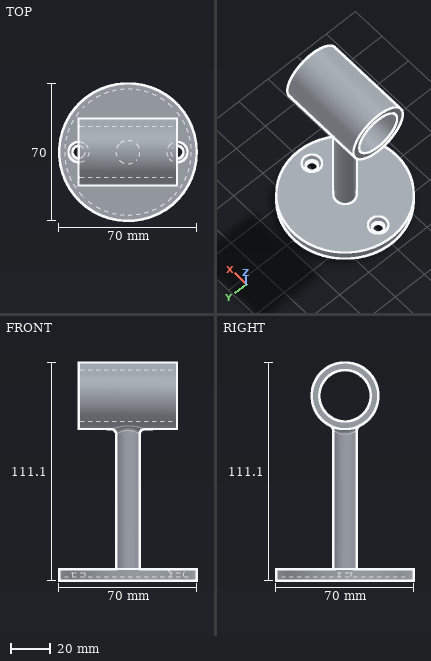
import cadquery as cq

flange_diameter = 70.0
flange_thickness = 6.0
recess_diameter = 64.27
recess_depth = 2.0

screw_hole_diameter = 6.3
countersink_diameter = 10.4
countersink_angle = 90.0
screw_spacing = 50.0

post_diameter = 12.0
post_fillet_radius = 2.5

tube_outer_diameter = 34.0
tube_inner_diameter = 26.0
tube_length = 50.0
overall_height = 111.05
tube_axis_height = overall_height - tube_outer_diameter / 2


def x_cylinder(diameter):
    """Cylinder on the tube axis, as long as the tube."""
    return (
        cq.Workplane("YZ", origin=(-tube_length / 2, 0, tube_axis_height))
        .circle(diameter / 2)
        .extrude(tube_length)
    )


def make_flange():
    """Round base plate, hollowed underneath, with two countersunk screw holes on the X axis."""
    plate = cq.Workplane("XY").circle(flange_diameter / 2).extrude(flange_thickness)
    recess = cq.Workplane("XY").circle(recess_diameter / 2).extrude(recess_depth)
    return (
        plate.cut(recess)
        .faces(">Z")
        .workplane()
        .pushPoints([(-screw_spacing / 2, 0), (screw_spacing / 2, 0)])
        .cskHole(screw_hole_diameter, countersink_diameter, countersink_angle)
    )


def make_post_and_tube():
    """Post rising from the recess roof into the tube, filleted where the two meet, then bored."""
    post = (
        cq.Workplane("XY", origin=(0, 0, recess_depth))
        .circle(post_diameter / 2)
        .extrude(tube_axis_height - recess_depth)
    )
    joined = post.union(x_cylinder(tube_outer_diameter))
    joint_height = tube_axis_height - tube_outer_diameter / 2
    joint_zone = cq.selectors.BoxSelector(
        (-post_diameter, -post_diameter, joint_height - post_diameter / 2),
        (post_diameter, post_diameter, tube_axis_height - tube_inner_diameter / 2),
        boundingbox=True,
    )
    filleted = joined.edges(joint_zone).fillet(post_fillet_radius)
    return filleted.cut(x_cylinder(tube_inner_diameter))


result = make_flange().union(make_post_and_tube())